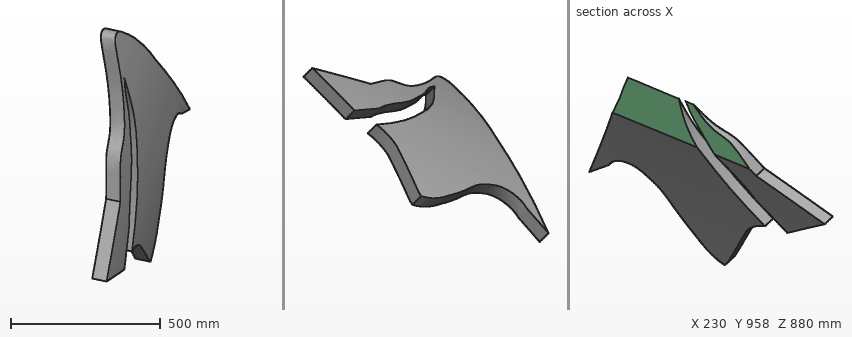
import cadquery as cq

depth_x = 230.0
width_y = 958.0
height_z = 880.0
thickness_x = 50.0

bend_z = 392.0
bend_x = 192.0

wing_tip = (width_y, 168.0)
tail_tip = (0.0, 390.0)
tail_heel = (161.0, 268.0)
slot_end = (576.0, 749.0)
body_tip = (251.0, 256.0)
foot = (424.0, 0.0)

peak_start = (801.0, 594.0)
peak_edge = [(749.0, 743.0), (727.0, 788.0), (691.0, 847.0), (665.0, 875.0), (647.0, height_z),
             (630.0, 875.0), (612.0, 857.0), (570.0, 790.0)]
shoulder_edge = [(490.0, 681.0), (421.0, 625.0), (359.0, 602.0), (326.0, 571.0), (294.0, 537.0),
                 (259.0, 497.0)]
slot_start = (276.0, 365.0)
slot_upper_edge = [(341.0, 442.0), (431.0, 532.0), (474.0, 593.0), (518.5, 658.0), (543.0, 710.0)]
slot_lower_edge = [(556.0, 668.0), (533.0, 597.0), (472.0, 493.0), (413.0, 413.0), (312.0, 308.0)]
heel_edge = [(306.0, 224.0), (331.0, 195.0)]
foot_start = (413.0, 13.0)
belly_edge = [(472.0, 21.0), (511.0, 51.0), (536.0, 75.0), (619.0, 165.0), (677.0, 232.0), (713.0, 259.0),
              (764.0, 285.0), (799.0, 288.0), (832.0, 281.0), (875.0, 241.0)]


def make_curved_sheet():
    """Sheet of constant X thickness, curved towards -X as it rises."""
    top_x = thickness_x
    return (
        cq.Workplane("XZ")
        .moveTo(depth_x, 0)
        .threePointArc((bend_x, bend_z), (top_x, height_z))
        .lineTo(top_x - thickness_x, height_z)
        .threePointArc((bend_x - thickness_x, bend_z), (depth_x - thickness_x, 0))
        .close()
        .extrude(-width_y)
    )


def make_outline_block():
    """Forked wing outline, extruded along X through the whole depth."""
    return (
        cq.Workplane("YZ")
        .moveTo(*wing_tip)
        .lineTo(*peak_start)
        .spline(peak_edge + shoulder_edge, includeCurrent=True)
        .lineTo(*tail_tip)
        .lineTo(*tail_heel)
        .lineTo(*slot_start)
        .spline(slot_upper_edge + [slot_end], includeCurrent=True)
        .spline(slot_lower_edge + [body_tip], includeCurrent=True)
        .spline(heel_edge, includeCurrent=True)
        .lineTo(*foot_start)
        .lineTo(*foot)
        .spline(belly_edge, includeCurrent=True)
        .close()
        .extrude(depth_x)
    )


result = make_curved_sheet().intersect(make_outline_block())